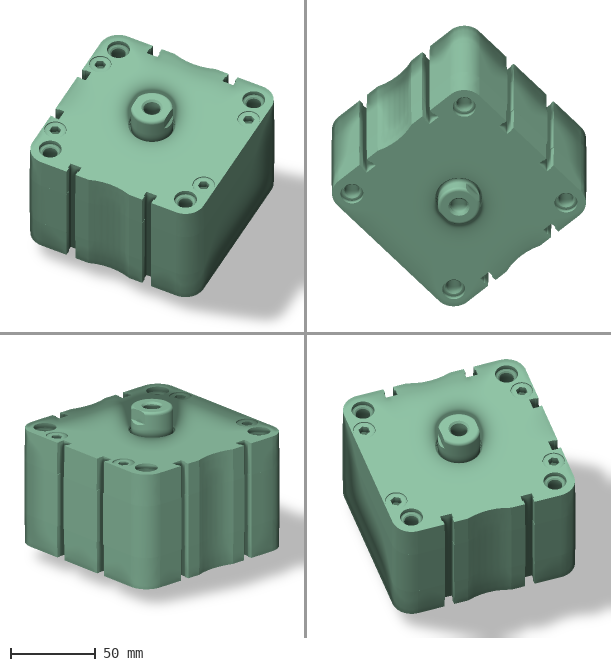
import cadquery as cq
import math

BLOCK_WIDTH = 113.5
BARREL_HEIGHT = 32.6
CAP_HEIGHT = 19.9
CAP_INSET = 0.36
CORNER_RADIUS = 12.3
BORE_DIAMETER = 100.0
HALF_WIDTH = BLOCK_WIDTH / 2
CORNER_CENTRE = HALF_WIDTH - CORNER_RADIUS
CAP_END = BARREL_HEIGHT / 2 + CAP_HEIGHT

HOLLOW_WIDTH = 26.8
HOLLOW_DEPTH = 2.7

Y_SIDE_SLOT_OFFSET = 25.0
Y_SIDE_BARREL_MOUTH = 5.7
Y_SIDE_CAP_MOUTH = 5.9
Y_SIDE_LIP = 3.4
Y_SIDE_SLOT_DEPTH = 7.2
X_SIDE_SLOT_OFFSET = 17.5
X_SIDE_BARREL_MOUTH = 5.3
X_SIDE_CAP_MOUTH = 6.2
X_SIDE_LIP = 2.3
X_SIDE_SLOT_DEPTH = 6.0
SLOT_INNER_WIDTH = 7.2

ROD_DIAMETER = 25.0
ROD_TOP_STICKOUT = 15.0
ROD_BOTTOM_STICKOUT = 9.8
ROD_ROUNDING = 1.8
ROD_HOLE_DIAMETER = 10.1
ROD_HOLE_CHAMFER = 1.1
FLAT_SPACING = 22.0
FLAT_LENGTH = 7.4

ROD_RECESS_DIAMETER = 26.9
ROD_RECESS_DEPTH = 1.7
ROD_RECESS_CHAMFER = 0.6
ROD_STEP_DIAMETER = 25.7
ROD_STEP_DEPTH = 1.7

SCREW_X = 48.9
SCREW_Y = 29.4
SCREW_HEAD_DIAMETER = 12.6
SCREW_SEAT_DIAMETER = 13.0
SCREW_HEAD_HEIGHT = 8.0
SCREW_SUNK = 0.6
HEX_ACROSS_FLATS = 6.0
HEX_DEPTH = 4.5

MOUNT_OFFSET = 44.6
MOUNT_COUNTERBORE_DIAMETER = 13.5
MOUNT_COUNTERBORE_DEPTH = 3.0
MOUNT_MOUTH_DIAMETER = 10.1
MOUNT_HOLE_DIAMETER = 8.5
MOUNT_HOLE_DEPTH = 17.0


def cylinder(diameter, z_start, z_end, x=0, y=0):
    return cq.Workplane("XY", origin=(x, y, z_start)).circle(diameter / 2).extrude(z_end - z_start)


def cone(start_diameter, end_diameter, z_start, z_end, x=0, y=0):
    solid = cq.Solid.makeCone(
        start_diameter / 2, end_diameter / 2, z_end - z_start, pnt=cq.Vector(x, y, z_start)
    )
    return cq.Workplane(solid)


def block_outline(z, inset=0):
    """Rounded square with a shallow arc hollow in its -Y and +Y sides."""
    side = HALF_WIDTH - inset
    corner = CORNER_CENTRE
    corner_mid = corner + (side - corner) * math.sqrt(0.5)
    hollow_end = HOLLOW_WIDTH / 2
    hollow_floor = HALF_WIDTH - HOLLOW_DEPTH
    return (
        cq.Workplane("XY", origin=(0, 0, z))
        .moveTo(side, -corner)
        .lineTo(side, corner)
        .threePointArc((corner_mid, corner_mid), (corner, side))
        .lineTo(hollow_end, side)
        .threePointArc((0, hollow_floor), (-hollow_end, side))
        .lineTo(-corner, side)
        .threePointArc((-corner_mid, corner_mid), (-side, corner))
        .lineTo(-side, -corner)
        .threePointArc((-corner_mid, -corner_mid), (-corner, -side))
        .lineTo(-hollow_end, -side)
        .threePointArc((0, -hollow_floor), (hollow_end, -side))
        .lineTo(corner, -side)
        .threePointArc((corner_mid, -corner_mid), (side, -corner))
        .close()
    )


def t_slot(mouth, lip, depth, offset, turn):
    """T-slot cutter, as long as the block, for the +Y side, turned about Z onto its own side."""
    throat = cq.Workplane("XY").box(mouth, 2 * depth, 2 * CAP_END)
    inner = (
        cq.Workplane("XY")
        .center(0, (-lip - depth) / 2)
        .rect(SLOT_INNER_WIDTH, depth - lip)
        .extrude(CAP_END, both=True)
    )
    cutter = throat.union(inner).translate((offset, HALF_WIDTH, 0))
    return cutter.rotate((0, 0, 0), (0, 0, 1), turn)


def cut_t_slots(body, y_side_mouth, x_side_mouth):
    """Two slots in each of the -Y, +Y and -X sides; the +X side stays plain."""
    for sign in (-1, 1):
        for turn in (0, 180):
            body = body.cut(
                t_slot(y_side_mouth, Y_SIDE_LIP, Y_SIDE_SLOT_DEPTH, sign * Y_SIDE_SLOT_OFFSET, turn)
            )
        body = body.cut(
            t_slot(x_side_mouth, X_SIDE_LIP, X_SIDE_SLOT_DEPTH, sign * X_SIDE_SLOT_OFFSET, 90)
        )
    return body


def make_barrel():
    barrel = block_outline(-BARREL_HEIGHT / 2).extrude(BARREL_HEIGHT)
    barrel = barrel.cut(cylinder(BORE_DIAMETER, -BARREL_HEIGHT / 2, BARREL_HEIGHT / 2))
    return cut_t_slots(barrel, Y_SIDE_BARREL_MOUTH, X_SIDE_BARREL_MOUTH)


def make_cap_blank():
    """Top cap as a drafted block, without slots or holes; the bottom cap is its mirror image."""
    wide_end = block_outline(BARREL_HEIGHT / 2).wires().val()
    end_face = block_outline(CAP_END, CAP_INSET).wires().val()
    return cq.Workplane(cq.Solid.makeLoft([wide_end, end_face], True))


def make_rod_passage():
    """Rod bore with a chamfered, stepped clearance recess at each end face."""
    recess_end = CAP_END - ROD_RECESS_DEPTH
    recess = cylinder(ROD_RECESS_DIAMETER, recess_end, CAP_END)
    chamfer = cone(
        ROD_RECESS_DIAMETER,
        ROD_RECESS_DIAMETER + 2 * ROD_RECESS_CHAMFER,
        CAP_END - ROD_RECESS_CHAMFER,
        CAP_END,
    )
    step = cylinder(ROD_STEP_DIAMETER, recess_end - ROD_STEP_DEPTH, recess_end)
    recess = recess.union(chamfer).union(step)
    passage = cylinder(ROD_DIAMETER, -CAP_END, CAP_END)
    return passage.union(recess).union(recess.mirror("XY"))


def make_mount_hole(x, y):
    """Counterbored blind hole with a countersunk mouth, in the top end face."""
    floor = CAP_END - MOUNT_COUNTERBORE_DEPTH
    countersink = (MOUNT_MOUTH_DIAMETER - MOUNT_HOLE_DIAMETER) / 2
    hole = cylinder(MOUNT_HOLE_DIAMETER, floor - MOUNT_HOLE_DEPTH, floor, x, y)
    mouth = cone(MOUNT_HOLE_DIAMETER, MOUNT_MOUTH_DIAMETER, floor - countersink, floor, x, y)
    counterbore = cylinder(MOUNT_COUNTERBORE_DIAMETER, floor, CAP_END, x, y)
    return hole.union(mouth).union(counterbore)


def make_end_block(screw_places):
    top_cap = make_cap_blank()
    top_cap = cut_t_slots(top_cap, Y_SIDE_CAP_MOUTH, X_SIDE_CAP_MOUTH)
    core = cylinder(BORE_DIAMETER, -BARREL_HEIGHT / 2, BARREL_HEIGHT / 2)
    block = core.union(top_cap).union(top_cap.mirror("XY"))
    block = block.cut(make_rod_passage())
    for x in (-MOUNT_OFFSET, MOUNT_OFFSET):
        for y in (-MOUNT_OFFSET, MOUNT_OFFSET):
            hole = make_mount_hole(x, y)
            block = block.cut(hole).cut(hole.mirror("XY"))
    seat_floor = CAP_END - SCREW_SUNK - SCREW_HEAD_HEIGHT
    for x, y in screw_places:
        block = block.cut(cylinder(SCREW_SEAT_DIAMETER, seat_floor, CAP_END, x, y))
    return block


def make_rod():
    top = CAP_END + ROD_TOP_STICKOUT
    bottom = -CAP_END - ROD_BOTTOM_STICKOUT
    rod = cylinder(ROD_DIAMETER, bottom, top).faces("<Z or >Z").edges().fillet(ROD_ROUNDING)
    rod = rod.cut(cylinder(ROD_HOLE_DIAMETER, bottom, top))
    hole_rims = rod.faces("<Z or >Z").edges(cq.selectors.RadiusNthSelector(0))
    rod = hole_rims.chamfer(ROD_HOLE_CHAMFER)

    flat_x = FLAT_SPACING / 2
    runout = ROD_DIAMETER / 2 - flat_x
    for end, inward in ((top, -1), (bottom, 1)):
        flat_end = end + inward * FLAT_LENGTH
        flat = (
            cq.Workplane("XZ")
            .moveTo(flat_x, end)
            .lineTo(flat_x, flat_end)
            .lineTo(flat_x + runout, flat_end + inward * runout)
            .lineTo(flat_x + runout, end)
            .close()
            .extrude(ROD_DIAMETER / 2, both=True)
        )
        rod = rod.cut(flat).cut(flat.mirror("YZ"))
    return rod


def make_screw(x, y):
    top = CAP_END - SCREW_SUNK
    across_corners = HEX_ACROSS_FLATS / math.cos(math.pi / 6)
    socket = (
        cq.Workplane("XY", origin=(x, y, top))
        .transformed(rotate=(0, 0, 90))
        .polygon(6, across_corners)
        .extrude(-HEX_DEPTH)
    )
    return cylinder(SCREW_HEAD_DIAMETER, top - SCREW_HEAD_HEIGHT, top, x, y).cut(socket)


screw_places = [(x, y) for x in (-SCREW_X, SCREW_X) for y in (-SCREW_Y, SCREW_Y)]

barrel = make_barrel()
end_block = make_end_block(screw_places)
rod = make_rod()
screws = [make_screw(x, y) for x, y in screw_places]

result = cq.Compound.makeCompound(
    [barrel.val(), end_block.val(), rod.val(), *[screw.val() for screw in screws]]
)